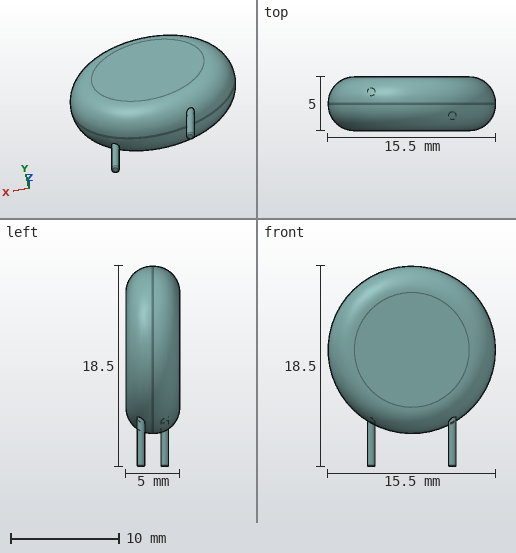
import cadquery as cq

disc_diameter = 15.5
disc_thickness = 5.0
rim_band_width = 0.12
rim_radius = (disc_thickness - rim_band_width) / 2

overall_height = 18.53
lead_diameter = 0.72
lead_pitch_x = 7.5
lead_pitch_y = 2.2
lead_tip_radius = lead_diameter / 5
lead_tip_z = disc_diameter / 2 - overall_height
lead_top_z = -disc_diameter / 4


def make_disc():
    """Flat disc with both rims fully rounded."""
    disc = cq.Workplane("XZ").circle(disc_diameter / 2).extrude(disc_thickness / 2, both=True)
    return disc.edges().fillet(rim_radius)


def make_lead(x, y):
    """Round lead with a rounded lower tip, running up into the disc."""
    return (
        cq.Workplane("XY")
        .workplane(offset=lead_tip_z)
        .center(x, y)
        .circle(lead_diameter / 2)
        .extrude(lead_top_z - lead_tip_z)
        .faces("<Z")
        .edges()
        .fillet(lead_tip_radius)
    )


result = make_disc()
for side in (-1, 1):
    result = result.union(make_lead(side * lead_pitch_x / 2, -side * lead_pitch_y / 2))